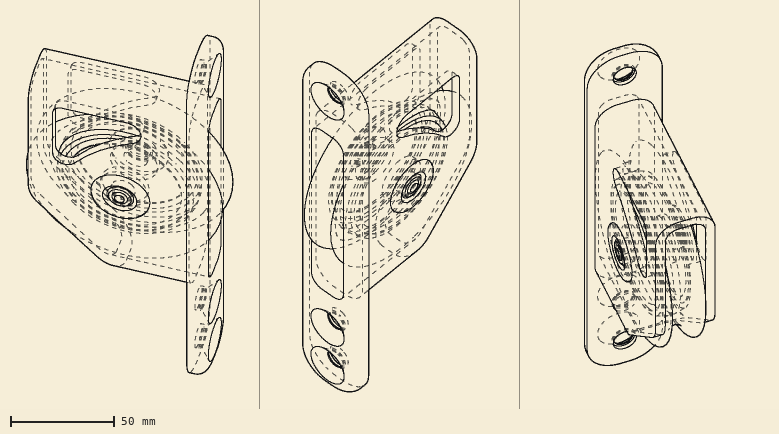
import cadquery as cq
import math


plate_length = 226.0
plate_width = 39.0
plate_thickness = 8.4
plate_back_x = 34.8
plate_top_z = 102.0
plate_corner_radius = 17.0
plate_edge_fillet = 5.5

screw_hole_heights = (86.0, -80.0, -107.8)
screw_hole_diameter = 10.0
screw_relief_diameter = 12.0
screw_relief_depth = 2.0
screw_throat_length = 0.7
countersink_diameter = 22.0

bracket_left_x = -46.8
bracket_width = 31.0
bracket_top_z = 66.7
bracket_bottom_z = -59.7
wall = 5.0
bend_radius = 11.8
cut_end_x = -0.5
cut_corner_radius = 16.0

window_left_x = -34.4
window_corner_radius = 5.0
window_low_radius = 6.0
window_low_z = 20.3
window_high_radius = 7.5
window_high_x = 3.0
window_low_angle = math.radians(-40)
window_high_angle = math.radians(-61)
window_arc_middle = (-7.7, 32.3)

sheave_radius = 49.7
rim_half_width = 10.0
lip_radius = 1.1
groove_radius = 7.5
rim_face_radius = 44.3
rim_round_radius = 8.4
valley_half_thickness = 1.5
hub_top_radius = 34.5
hub_half_width = 7.2
bead_mid_radius = 30.3
bead_radius = 1.7
boss_radius = 12.0

axle_diameter = 12.0
head_diameter = 29.8
head_height = 1.4
head_fillet = 1.1
dish_diameter = 17.5
dish_depth = 1.1
stud_foot_diameter = 13.5
stud_shoulder_diameter = 11.5
stud_shoulder_drop = 0.2
stud_tip_base_diameter = 8.0
stud_tip_diameter = 5.0
stud_tip_rise = 0.5

cos_45 = math.sqrt(0.5)
plate_front_x = plate_back_x + plate_thickness
plate_mid_z = plate_top_z - plate_length / 2
bracket_height = bracket_top_z - bracket_bottom_z
bracket_mid_z = (bracket_top_z + bracket_bottom_z) / 2
bracket_half_width = bracket_width / 2
inner_half_width = bracket_half_width - wall
groove_mid_radius = sheave_radius - lip_radius
head_y = bracket_half_width + head_height


def x_prism(width, height, corner_radius, mid_z, x_start, x_end):
    """Rounded rectangular bar along X, centred on Y = 0."""
    return (
        cq.Workplane("YZ", origin=(x_start, 0, mid_z))
        .rect(width, height)
        .extrude(x_end - x_start)
        .edges("|X")
        .fillet(corner_radius)
    )


def make_screw_hole(z):
    """Cutter for one screw hole, turned about its own axis along X."""
    throat_start_x = plate_back_x + screw_relief_depth
    countersink_start_x = throat_start_x + screw_throat_length
    return (
        cq.Workplane("XZ", origin=(0, 0, z))
        .moveTo(plate_back_x, 0)
        .lineTo(plate_back_x, screw_relief_diameter / 2)
        .lineTo(throat_start_x, screw_relief_diameter / 2)
        .lineTo(throat_start_x, screw_hole_diameter / 2)
        .lineTo(countersink_start_x, screw_hole_diameter / 2)
        .lineTo(plate_front_x, countersink_diameter / 2)
        .lineTo(plate_front_x, 0)
        .close()
        .revolve(360, (0, 0, 0), (1, 0, 0))
    )


def make_plate():
    plate = x_prism(plate_width, plate_length, plate_corner_radius, plate_mid_z, plate_back_x, plate_front_x)
    plate = plate.faces(">X").edges().fillet(plate_edge_fillet)
    for z in screw_hole_heights:
        plate = plate.cut(make_screw_hole(z))
    return plate


def make_cheek_outline():
    """Side shape of the bracket, with its lower left corner cut off at 45 degrees."""
    cut_start_z = bracket_bottom_z + cut_end_x - bracket_left_x
    outline = (
        cq.Workplane("XZ", origin=(0, bracket_half_width, 0))
        .moveTo(bracket_left_x, bracket_top_z)
        .lineTo(plate_back_x, bracket_top_z)
        .lineTo(plate_back_x, bracket_bottom_z)
        .lineTo(cut_end_x, bracket_bottom_z)
        .lineTo(bracket_left_x, cut_start_z)
        .close()
        .extrude(bracket_width)
    )
    cut_corner = cq.selectors.NearestToPointSelector((bracket_left_x, 0, cut_start_z))
    return outline.edges("|Y").edges(cut_corner).fillet(cut_corner_radius)


def make_window():
    """Window cutter: two rounded ends joined below by a long arc that clears the axle."""
    top_z = bracket_top_z - bend_radius
    high_z = top_z - window_high_radius
    low_x = window_left_x + window_low_radius
    low_end = (
        low_x + window_low_radius * math.cos(window_low_angle),
        window_low_z + window_low_radius * math.sin(window_low_angle),
    )
    high_start = (
        window_high_x + window_high_radius * math.cos(window_high_angle),
        high_z + window_high_radius * math.sin(window_high_angle),
    )
    corner_chord = window_corner_radius * (1 - cos_45)
    return (
        cq.Workplane("XZ", origin=(0, bracket_half_width, 0))
        .moveTo(window_left_x + window_corner_radius, top_z)
        .lineTo(window_high_x, top_z)
        .threePointArc((window_high_x + window_high_radius, high_z), high_start)
        .threePointArc(window_arc_middle, low_end)
        .threePointArc((low_x, window_low_z - window_low_radius), (window_left_x, window_low_z))
        .lineTo(window_left_x, top_z - window_corner_radius)
        .threePointArc(
            (window_left_x + corner_chord, top_z - corner_chord),
            (window_left_x + window_corner_radius, top_z),
        )
        .close()
        .extrude(bracket_width)
    )


def make_housing():
    """Plate and bracket in one piece, open right through along X for the sheave."""
    tube = x_prism(bracket_width, bracket_height, bend_radius, bracket_mid_z, bracket_left_x, plate_back_x)
    opening = x_prism(
        bracket_width - 2 * wall,
        bracket_height - 2 * wall,
        bend_radius - wall,
        bracket_mid_z,
        bracket_left_x,
        plate_front_x,
    )
    axle_hole = (
        cq.Workplane("XZ", origin=(0, bracket_half_width, 0)).circle(axle_diameter / 2).extrude(bracket_width)
    )
    bracket = tube.intersect(make_cheek_outline())
    return make_plate().union(bracket).cut(opening).cut(make_window()).cut(axle_hole)


def revolve_about_axle(profile):
    """Revolve a closed profile drawn with radius along X and axle position along Y."""
    return profile.revolve(360, (0, 0, 0), (0, 1, 0))


def make_rim_half():
    """Half of the wheel from its middle plane out to the side at negative Y, without the groove."""
    lip_inner_y = -groove_radius
    lip_outer_y = -rim_half_width
    lip_mid_y = (lip_inner_y + lip_outer_y) / 2
    hub_y = -hub_half_width
    round_middle = (
        rim_face_radius - rim_round_radius * cos_45,
        -valley_half_thickness - rim_round_radius * cos_45,
    )
    profile = (
        cq.Workplane("XY")
        .moveTo(boss_radius, 0)
        .lineTo(groove_mid_radius, 0)
        .lineTo(groove_mid_radius, lip_inner_y)
        .threePointArc((sheave_radius, lip_mid_y), (groove_mid_radius, lip_outer_y))
        .lineTo(rim_face_radius, lip_outer_y)
        .threePointArc(round_middle, (rim_face_radius - rim_round_radius, -valley_half_thickness))
        .lineTo(hub_top_radius, hub_y)
        .lineTo(bead_mid_radius + bead_radius, hub_y)
        .threePointArc((bead_mid_radius, hub_y - bead_radius), (bead_mid_radius - bead_radius, hub_y))
        .lineTo(boss_radius, hub_y)
    )
    return revolve_about_axle(profile.close())


def make_axle_half():
    """Half of the centre boss and axle, ending in a dished head with a central stud."""
    shoulder_y = -head_y + stud_shoulder_drop
    tip_y = -head_y - stud_tip_rise
    dish_y = -head_y + dish_depth
    head_radius = head_diameter / 2
    fillet_chord = head_fillet * (1 - cos_45)
    profile = (
        cq.Workplane("XY")
        .moveTo(0, 0)
        .lineTo(boss_radius, 0)
        .lineTo(boss_radius, -inner_half_width)
        .lineTo(axle_diameter / 2, -inner_half_width)
        .lineTo(axle_diameter / 2, -bracket_half_width)
        .lineTo(head_radius, -bracket_half_width)
        .lineTo(head_radius, -head_y + head_fillet)
        .threePointArc(
            (head_radius - fillet_chord, -head_y + fillet_chord),
            (head_radius - head_fillet, -head_y),
        )
        .lineTo(dish_diameter / 2, -head_y)
        .lineTo(stud_foot_diameter / 2, dish_y)
        .lineTo(stud_shoulder_diameter / 2, shoulder_y)
        .lineTo(stud_tip_base_diameter / 2, shoulder_y)
        .lineTo(stud_tip_diameter / 2, tip_y)
        .lineTo(0, tip_y)
    )
    return revolve_about_axle(profile.close())


def make_sheave():
    half = make_rim_half().union(make_axle_half())
    groove = revolve_about_axle(cq.Workplane("XY").pushPoints([(groove_mid_radius, 0)]).circle(groove_radius))
    return half.union(half.mirror("XZ")).cut(groove)


housing = make_housing()
sheave = make_sheave()
result = cq.Compound.makeCompound([housing.val(), sheave.val()])